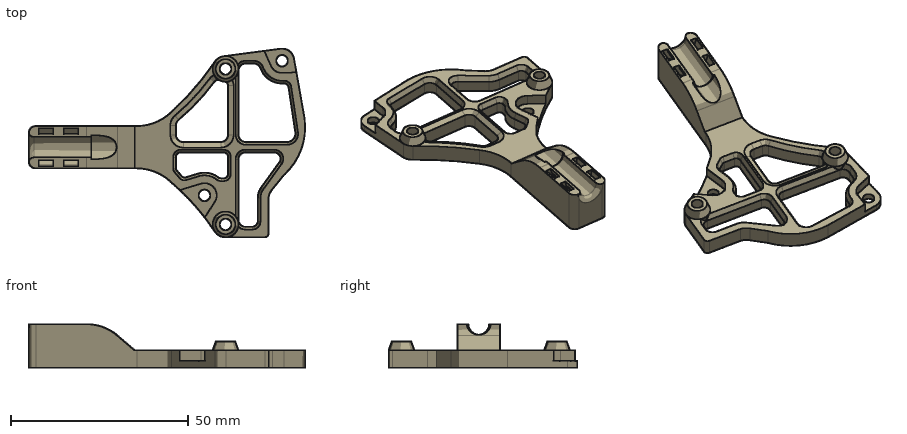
import cadquery as cq
import math

plate_height = 5.0
grip_height = 12.38
grip_width = 12.0
grip_corner_radius = 2.0
overlap = 1.0

grip_flat_end = 16.3
shoulder_radius = 13.4
shoulder_angle = math.radians(40.5)

channel_radius = 2.9
channel_axis_height = 12.3
channel_end = 17.6
mouth_radius = 1.45
runout_radius = 3.45
runout_axis_height = 12.8
runout_end = 27.0

strap_inner_radius = 3.75
strap_outer_radius = 5.35
strap_width = 4.15
strap_starts = (2.8, 9.85)

flare_start = 30.5
flare_radius = 14.0
flare_angle = math.radians(44)

boss_x = 55.55
boss_y = 0.15
boss_half_spacing = 21.95
boss_base_radius = 3.65
boss_top_radius = 2.75
boss_height = 2.5
hole_diameter = 3.2

ear_floor = 2.0
ear_radius = 3.45
ear_reach = 15.0
side_ear = ((49.6, -13.6), 197, 237)
tip_ear = ((71.5, 24.4), 3, 114)
ear_wall = 3.0

rib_x = 57.72
rib_half_width = 1.5
window_left = 41.57
bevel_depth = 1.6
bevel_width = 0.8
wide_bevel_depth = bevel_width
wide_bevel_width = bevel_depth

boss_centers = [(boss_x, boss_y + side * boss_half_spacing) for side in (-1, 1)]


def polar(center, radius, angle_deg):
    angle = math.radians(angle_deg)
    return (center[0] + radius * math.cos(angle), center[1] + radius * math.sin(angle))


def cylinder_x(radius, height, start, length):
    """Cylinder lying along X on the grip axis."""
    return cq.Workplane("YZ", origin=(start, 0, height)).circle(radius).extrude(length)


def make_plate():
    flare_end_x = flare_start + flare_radius * math.sin(flare_angle)
    flare_end_y = grip_width / 2 + flare_radius * (1 - math.cos(flare_angle))
    flare_mid_x = flare_start + flare_radius * math.sin(flare_angle / 2)
    flare_mid_y = grip_width / 2 + flare_radius * (1 - math.cos(flare_angle / 2))
    lower_boss, upper_boss = boss_centers
    tip = tip_ear[0]
    return (
        cq.Workplane("XY")
        .moveTo(0, -grip_width / 2)
        .lineTo(flare_start, -grip_width / 2)
        .threePointArc((flare_mid_x, -flare_mid_y), (flare_end_x, -flare_end_y))
        .threePointArc((47.0, -16.6), polar(lower_boss, boss_base_radius, 214))
        .threePointArc(polar(lower_boss, boss_base_radius, 242), polar(lower_boss, boss_base_radius, 270))
        .lineTo(66.6, lower_boss[1] - boss_base_radius)
        .radiusArc((67.7, lower_boss[1] - boss_base_radius + 1.1), -1.1)
        .lineTo(67.7, -14.5)
        .radiusArc((68.7, -12.0), 4.0)
        .lineTo(72.0, -7.9)
        .threePointArc((76.95, -0.6), (77.88, 8.1))
        .lineTo(*polar(tip, ear_radius, 10))
        .threePointArc(polar(tip, ear_radius, 54), polar(tip, ear_radius, 98))
        .lineTo(*polar(upper_boss, boss_base_radius, 98))
        .threePointArc(polar(upper_boss, boss_base_radius, 122), polar(upper_boss, boss_base_radius, 146))
        .threePointArc((47.0, 16.9), (flare_end_x, flare_end_y))
        .threePointArc((flare_mid_x, flare_mid_y), (flare_start, grip_width / 2))
        .lineTo(0, grip_width / 2)
        .close()
        .extrude(plate_height)
    )


def make_grip():
    shoulder_x = grip_flat_end + shoulder_radius * math.sin(shoulder_angle)
    shoulder_z = grip_height - shoulder_radius * (1 - math.cos(shoulder_angle))
    mid_x = grip_flat_end + shoulder_radius * math.sin(shoulder_angle / 2)
    mid_z = grip_height - shoulder_radius * (1 - math.cos(shoulder_angle / 2))
    ramp_end = shoulder_x + (shoulder_z - plate_height) / math.tan(shoulder_angle)
    return (
        cq.Workplane("XZ", origin=(0, grip_width / 2, 0))
        .lineTo(ramp_end, 0)
        .lineTo(ramp_end, plate_height)
        .lineTo(shoulder_x, shoulder_z)
        .threePointArc((mid_x, mid_z), (grip_flat_end, grip_height))
        .lineTo(0, grip_height)
        .close()
        .extrude(grip_width)
    )


def make_channel():
    """Channel, its flared mouth at the free end and its wider run-out through the shoulder."""
    bore = cylinder_x(channel_radius, channel_axis_height, -overlap, channel_end + overlap)
    runout = cylinder_x(runout_radius, runout_axis_height, channel_end, runout_end - channel_end)
    mid_offset = mouth_radius * math.sqrt(0.5)
    mouth = (
        cq.Workplane("XY", origin=(0, 0, channel_axis_height))
        .lineTo(0, channel_radius + mouth_radius)
        .threePointArc(
            (mouth_radius - mid_offset, channel_radius + mouth_radius - mid_offset),
            (mouth_radius, channel_radius),
        )
        .lineTo(mouth_radius, 0)
        .close()
        .revolve(360, (0, 0, 0), (1, 0, 0))
    )
    return bore.union(runout).union(mouth)


def make_strap_slot(start):
    outer = cylinder_x(strap_outer_radius, channel_axis_height, start, strap_width)
    return outer.cut(cylinder_x(strap_inner_radius, channel_axis_height, start, strap_width))


def make_ear(ear, radius, bottom):
    """Round-ended block that opens outward between the two side directions of an ear."""
    center, first_side, second_side = ear
    first_tangent = polar(center, radius, first_side - 90)
    second_tangent = polar(center, radius, second_side + 90)
    return (
        cq.Workplane("XY", origin=(0, 0, bottom))
        .moveTo(*first_tangent)
        .lineTo(*polar(first_tangent, ear_reach, first_side))
        .lineTo(*polar(second_tangent, ear_reach, second_side))
        .lineTo(*second_tangent)
        .threePointArc(polar(center, radius, (first_side + second_side) / 2 + 180), first_tangent)
        .close()
        .extrude(plate_height + overlap - bottom)
    )


def round_corners(solid, corners):
    """Fillet the upright edge nearest to each (x, y, radius)."""
    for x, y, radius in corners:
        nearest = cq.selectors.NearestToPointSelector((x, y, plate_height / 2))
        solid = solid.edges("|Z").edges(nearest).fillet(radius)
    return solid


def bevelled(opening, width, depth):
    """Keep an opening straight up to the bevel line, then widen it evenly up to the plate top."""
    rim = opening.faces(">Z").wires().val().translate(cq.Vector(0, 0, -depth))
    taper = -math.degrees(math.atan2(width, depth))
    flared = cq.Solid.extrudeLinear(rim, [], cq.Vector(0, 0, depth), taper)
    return opening.union(flared)


def make_upper_inner_window():
    """Large window between the grip, the upper boss and the two ribs."""
    right = rib_x - rib_half_width
    opening = (
        cq.Workplane("XY")
        .moveTo(window_left, rib_half_width)
        .lineTo(right, rib_half_width)
        .lineTo(right, boss_centers[1][1])
        .lineTo(54.9, boss_centers[1][1])
        .threePointArc((48.2, 13.35), (window_left, 7.1))
        .close()
        .extrude(plate_height)
    )
    boss = cq.Workplane("XY").center(*boss_centers[1]).circle(boss_base_radius).extrude(plate_height)
    corners = [
        (window_left, rib_half_width, 2.0),
        (right, rib_half_width, 2.0),
        (window_left, 7.1, 2.0),
        (52.5, 19.0, 1.2),
        (right, 18.4, 1.0),
    ]
    return bevelled(round_corners(opening.cut(boss), corners), wide_bevel_width, wide_bevel_depth)


def make_lower_inner_window():
    """Small window whose lower side steps around the side ear."""
    right = rib_x - rib_half_width
    bottom = -8.75
    outline = [
        (window_left, -rib_half_width),
        (right, -rib_half_width),
        (right, bottom),
        (43.7, bottom),
        (window_left, -6.3),
    ]
    opening = cq.Workplane("XY").polyline(outline).close().extrude(plate_height)
    opening = opening.cut(make_ear(side_ear, ear_radius + ear_wall, 0))
    corners = [
        (window_left, -rib_half_width, 1.3),
        (right, -rib_half_width, 1.2),
        (right, bottom, 1.2),
        (53.85, bottom, 1.2),
        (43.7, bottom, 1.0),
        (window_left, -6.3, 1.0),
    ]
    return bevelled(round_corners(opening, corners), bevel_width, bevel_depth)


def make_upper_outer_window():
    """Largest window, stepping around the tip ear."""
    left = rib_x + rib_half_width
    top = 23.6
    outline = [(left, rib_half_width), (75.6, rib_half_width), (72.3, top), (left, top)]
    opening = cq.Workplane("XY").polyline(outline).close().extrude(plate_height)
    opening = opening.cut(make_ear(tip_ear, ear_radius + ear_wall, 0))
    corners = [
        (left, rib_half_width, 2.0),
        (75.6, rib_half_width, 2.3),
        (left, top, 2.0),
        (65.1, top, 2.0),
        (73.0, 18.0, 1.2),
    ]
    return bevelled(round_corners(opening, corners), bevel_width, bevel_depth)


def make_lower_outer_window():
    """Boot-shaped window that follows the slanted outer edge of the plate."""
    left = rib_x + rib_half_width
    foot_right = 64.63
    bottom = -22.44
    toe = (72.7, -rib_half_width)
    bend = (foot_right, -12.7)
    outline = [(left, -rib_half_width), toe, bend, (foot_right, bottom), (left, bottom)]
    opening = cq.Workplane("XY").polyline(outline).close().extrude(plate_height)
    corners = [
        (left, -rib_half_width, 1.9),
        (*toe, 1.75),
        (*bend, 5.0),
        (foot_right, bottom, 1.6),
        (left, bottom, 1.9),
    ]
    return bevelled(round_corners(opening, corners), bevel_width, bevel_depth)


def make_boss(center):
    return (
        cq.Workplane("XY", origin=(*center, plate_height))
        .circle(boss_base_radius)
        .workplane(offset=boss_height)
        .circle(boss_top_radius)
        .loft()
    )


part = make_plate().union(make_grip())
part = part.edges("|Z and <X").fillet(grip_corner_radius)
part = part.cut(make_channel())
for slot_start in strap_starts:
    part = part.cut(make_strap_slot(slot_start))

windows = (
    make_upper_inner_window(),
    make_lower_inner_window(),
    make_upper_outer_window(),
    make_lower_outer_window(),
)
posts = cq.Workplane("XY").pushPoints(boss_centers).circle(boss_base_radius).extrude(plate_height)
for window in windows:
    part = part.cut(window.cut(posts))

for ear_shape in (side_ear, tip_ear):
    part = part.cut(make_ear(ear_shape, ear_radius, ear_floor))
for boss_center in boss_centers:
    part = part.union(make_boss(boss_center))
hole_centers = boss_centers + [side_ear[0], tip_ear[0]]
part = part.cut(cq.Workplane("XY").pushPoints(hole_centers).circle(hole_diameter / 2).extrude(grip_height))

result = part